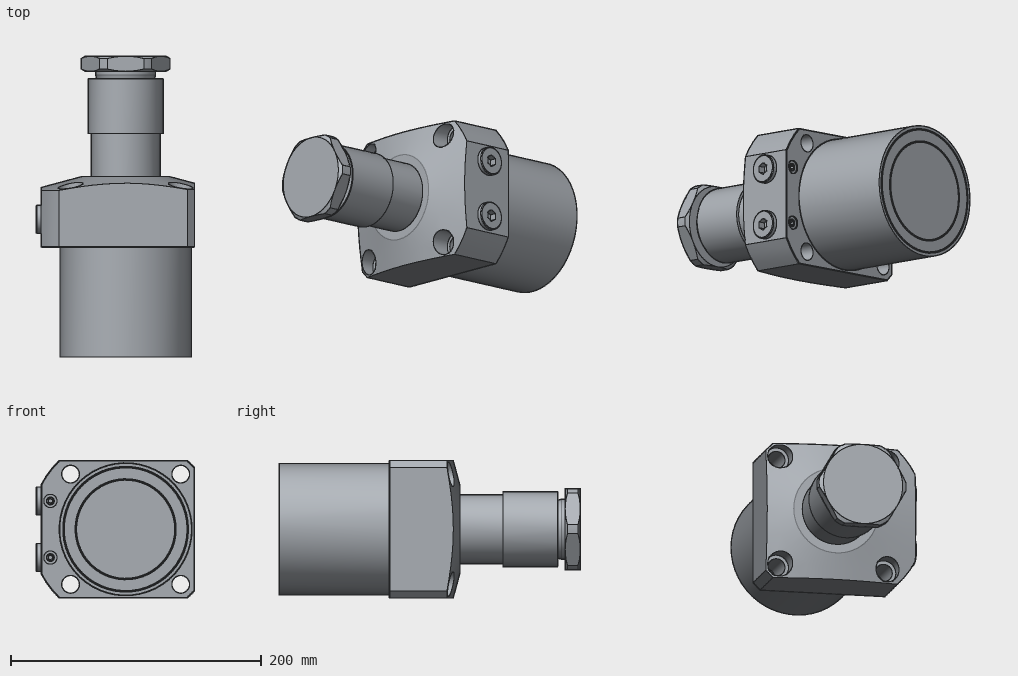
import cadquery as cq
import math

OVERALL_LENGTH = 240.0

FLANGE_FRONT = 87.5
FLANGE_BACK = 144.2
FLANGE_HALF = 55.0
PORT_FACE_X = -67.5
PORT_CORNER_RADIUS = 76.3
PLAIN_CORNER_CHAMFER = 5.8
FRONT_EDGE_CHAMFER = 0.6
BACK_FLAT_RADIUS = 34.5
BACK_CONE_ANGLE = 15.0
BACK_CONE_MARGIN = 2.5
MOUNT_HOLE_OFFSET = 44.0
MOUNT_HOLE_RADIUS = 7.0
COUNTERBORE_RADIUS = 9.8
COUNTERBORE_FLOOR = 123.5

BARREL_RADIUS = 52.5
TUBE_RADIUS = 27.5
SLEEVE_RADIUS = 30.0
ROOT_GROOVE_WIDTH = 0.5
ROOT_GROOVE_DEPTH = 0.5
SLEEVE_FRONT = 178.3
SLEEVE_BACK = 222.2
SLEEVE_CHAMFER = 0.5

GLAND_RADIUS = 49.7
GLAND_LENGTH = 20.0
ROD_HEAD_RADIUS = 39.8
ROD_HEAD_LENGTH = FLANGE_FRONT
NOSE_CHAMFER = 0.7
NOSE_BORE_CHAMFER = 0.5
SHAFT_RADIUS = 23.3
NECK_RADIUS = 24.0
NECK_FRONT = 225.0
HEX_FRONT = 228.0
HEX_FLATS = 64.8
HEX_CORNER_RADIUS = 35.5
HEX_CHAMFER_ANGLE = 30.0

PORT_OFFSET_Z = 22.5
PORT_Y = 110.0
PLUG_HEAD_RADIUS = 11.3
PLUG_HEAD_HEIGHT = 4.0
PLUG_HEAD_CHAMFER = 0.7
PLUG_SHANK_RADIUS = 8.5
PLUG_SHANK_LENGTH = 12.0
PLUG_SOCKET_FLATS = 8.2
PLUG_SOCKET_DEPTH = 6.0
SCREW_X = -60.0
SCREW_RECESS_RADIUS = 5.3
SCREW_RECESS_DEPTH = 1.2
SCREW_RADIUS = 3.0
SCREW_CHAMFER = 0.5
SCREW_LENGTH = 9.5
SCREW_SOCKET_FLATS = 3.0
SCREW_SOCKET_DEPTH = 3.5
SCREW_SOCKET_TURN = 30.0

PORT_SIDES = (-1, 1)


def across_xz(y, x=0.0, z=0.0):
    """Workplane at (x, y, z) that extrudes toward +Y."""
    return cq.Workplane(cq.Plane(origin=(x, y, z), xDir=(1, 0, 0), normal=(0, 1, 0)))


def axial_cylinder(radius, start, end):
    """Cylinder on the main axis from Y = start to Y = end."""
    return across_xz(start).circle(radius).extrude(end - start)


def port_plane(x, side):
    """Workplane on a port axis that extrudes toward +X."""
    origin = (x, PORT_Y, side * PORT_OFFSET_Z)
    return cq.Workplane(cq.Plane(origin=origin, xDir=(0, 0, 1), normal=(1, 0, 0)))


def nose_bore(radius):
    """Bore of the gland length, chamfered where it opens at the nose."""
    return (
        cq.Workplane("XY")
        .lineTo(radius + NOSE_BORE_CHAMFER, 0)
        .lineTo(radius, NOSE_BORE_CHAMFER)
        .lineTo(radius, GLAND_LENGTH)
        .lineTo(0, GLAND_LENGTH)
        .close()
        .revolve(360, (0, 0, 0), (0, 1, 0))
    )


def hexagon_diameter(flats):
    """Corner-to-corner size of a hexagon with the given size across flats."""
    return flats / math.cos(math.pi / 6)


def flange_block():
    """Flange outline with two rounded and two chamfered corners."""
    arc_end_x = -math.sqrt(PORT_CORNER_RADIUS**2 - FLANGE_HALF**2)
    arc_end_z = math.sqrt(PORT_CORNER_RADIUS**2 - PORT_FACE_X**2)
    middle_angle = (math.atan2(FLANGE_HALF, arc_end_x) + math.atan2(arc_end_z, PORT_FACE_X)) / 2
    arc_mid_x = PORT_CORNER_RADIUS * math.cos(middle_angle)
    arc_mid_z = PORT_CORNER_RADIUS * math.sin(middle_angle)
    chamfer_start = FLANGE_HALF - PLAIN_CORNER_CHAMFER
    block = (
        across_xz(FLANGE_FRONT)
        .moveTo(PORT_FACE_X, -arc_end_z)
        .lineTo(PORT_FACE_X, arc_end_z)
        .threePointArc((arc_mid_x, arc_mid_z), (arc_end_x, FLANGE_HALF))
        .lineTo(chamfer_start, FLANGE_HALF)
        .lineTo(FLANGE_HALF, chamfer_start)
        .lineTo(FLANGE_HALF, -chamfer_start)
        .lineTo(chamfer_start, -FLANGE_HALF)
        .lineTo(arc_end_x, -FLANGE_HALF)
        .threePointArc((arc_mid_x, -arc_mid_z), (PORT_FACE_X, -arc_end_z))
        .close()
        .extrude(FLANGE_BACK - FLANGE_FRONT)
        .faces("<Y")
        .chamfer(FRONT_EDGE_CHAMFER)
    )
    return block.intersect(back_cone_envelope())


def back_cone_envelope():
    """Solid of revolution that gives the flange its conical back."""
    outer_radius = PORT_CORNER_RADIUS + BACK_CONE_MARGIN
    cone_drop = (outer_radius - BACK_FLAT_RADIUS) * math.tan(math.radians(BACK_CONE_ANGLE))
    return (
        cq.Workplane("XY")
        .moveTo(0, FLANGE_FRONT)
        .lineTo(outer_radius, FLANGE_FRONT)
        .lineTo(outer_radius, FLANGE_BACK - cone_drop)
        .lineTo(BACK_FLAT_RADIUS, FLANGE_BACK)
        .lineTo(0, FLANGE_BACK)
        .close()
        .revolve(360, (0, 0, 0), (0, 1, 0))
    )


def mounting_holes():
    """Four through holes, counterbored from the conical back."""
    spacing = 2 * MOUNT_HOLE_OFFSET
    through_holes = (
        across_xz(FLANGE_FRONT)
        .rarray(spacing, spacing, 2, 2)
        .circle(MOUNT_HOLE_RADIUS)
        .extrude(FLANGE_BACK - FLANGE_FRONT)
    )
    counterbores = (
        across_xz(COUNTERBORE_FLOOR)
        .rarray(spacing, spacing, 2, 2)
        .circle(COUNTERBORE_RADIUS)
        .extrude(FLANGE_BACK - COUNTERBORE_FLOOR)
    )
    return through_holes.union(counterbores)


def make_housing():
    """Barrel, flange, rear tube and sleeve in one piece, bored for the other bodies."""
    sleeve = axial_cylinder(SLEEVE_RADIUS, SLEEVE_FRONT, SLEEVE_BACK).faces(">Y").chamfer(SLEEVE_CHAMFER)
    groove_radius = BARREL_RADIUS + ROOT_GROOVE_WIDTH
    groove_floor = FLANGE_FRONT + ROOT_GROOVE_DEPTH
    housing = (
        flange_block()
        .cut(axial_cylinder(groove_radius, FLANGE_FRONT, groove_floor))
        .union(axial_cylinder(BARREL_RADIUS, 0, groove_floor))
        .union(axial_cylinder(TUBE_RADIUS, FLANGE_BACK, SLEEVE_FRONT))
        .union(sleeve)
        .cut(nose_bore(GLAND_RADIUS))
        .cut(axial_cylinder(ROD_HEAD_RADIUS, 0, ROD_HEAD_LENGTH))
        .cut(axial_cylinder(SHAFT_RADIUS, ROD_HEAD_LENGTH, SLEEVE_BACK))
        .cut(mounting_holes())
    )
    screw_seat = FLANGE_FRONT + SCREW_RECESS_DEPTH
    for side in PORT_SIDES:
        z = side * PORT_OFFSET_Z
        recess = across_xz(FLANGE_FRONT, SCREW_X, z).circle(SCREW_RECESS_RADIUS).extrude(SCREW_RECESS_DEPTH)
        screw_hole = across_xz(screw_seat, SCREW_X, z).circle(SCREW_RADIUS).extrude(SCREW_LENGTH)
        plug_hole = port_plane(PORT_FACE_X, side).circle(PLUG_SHANK_RADIUS).extrude(PLUG_SHANK_LENGTH)
        housing = housing.cut(recess).cut(screw_hole).cut(plug_hole)
    return housing


def make_gland_ring():
    """Ring in the barrel nose that guides the piston rod."""
    blank = axial_cylinder(GLAND_RADIUS, 0, GLAND_LENGTH).faces("<Y").chamfer(NOSE_CHAMFER)
    return blank.cut(nose_bore(ROD_HEAD_RADIUS))


def hexagon_end():
    """Hexagon with its corners turned round and both ends chamfered."""
    flat_distance = HEX_FLATS / 2
    chamfer_length = (HEX_CORNER_RADIUS - flat_distance) * math.tan(math.radians(HEX_CHAMFER_ANGLE))
    hexagon = (
        across_xz(HEX_FRONT)
        .polygon(6, hexagon_diameter(HEX_FLATS))
        .extrude(OVERALL_LENGTH - HEX_FRONT)
    )
    turned_blank = (
        cq.Workplane("XY")
        .moveTo(0, HEX_FRONT)
        .lineTo(flat_distance, HEX_FRONT)
        .lineTo(HEX_CORNER_RADIUS, HEX_FRONT + chamfer_length)
        .lineTo(HEX_CORNER_RADIUS, OVERALL_LENGTH - chamfer_length)
        .lineTo(flat_distance, OVERALL_LENGTH)
        .lineTo(0, OVERALL_LENGTH)
        .close()
        .revolve(360, (0, 0, 0), (0, 1, 0))
    )
    return hexagon.intersect(turned_blank)


def make_piston_rod():
    """Rod head at the nose, shaft through the housing, tapered neck and hexagon end."""
    head = axial_cylinder(ROD_HEAD_RADIUS, 0, ROD_HEAD_LENGTH).faces("<Y").chamfer(NOSE_CHAMFER)
    shaft_and_neck = (
        cq.Workplane("XY")
        .moveTo(0, ROD_HEAD_LENGTH)
        .lineTo(SHAFT_RADIUS, ROD_HEAD_LENGTH)
        .lineTo(SHAFT_RADIUS, SLEEVE_BACK)
        .lineTo(NECK_RADIUS, NECK_FRONT)
        .lineTo(NECK_RADIUS, HEX_FRONT)
        .lineTo(0, HEX_FRONT)
        .close()
        .revolve(360, (0, 0, 0), (0, 1, 0))
    )
    return head.union(shaft_and_neck).union(hexagon_end())


def make_port_plug(side):
    """Plug with a round head on the port face and a hexagon socket."""
    head_x = PORT_FACE_X - PLUG_HEAD_HEIGHT
    head = (
        port_plane(head_x, side)
        .circle(PLUG_HEAD_RADIUS)
        .extrude(PLUG_HEAD_HEIGHT)
        .faces("<X")
        .chamfer(PLUG_HEAD_CHAMFER)
    )
    shank = port_plane(PORT_FACE_X, side).circle(PLUG_SHANK_RADIUS).extrude(PLUG_SHANK_LENGTH)
    socket = (
        port_plane(head_x, side)
        .polygon(6, hexagon_diameter(PLUG_SOCKET_FLATS))
        .extrude(PLUG_SOCKET_DEPTH)
    )
    return head.union(shank).cut(socket)


def make_set_screw(side):
    """Set screw at the bottom of its recess in the flange front."""
    plane = across_xz(FLANGE_FRONT + SCREW_RECESS_DEPTH, SCREW_X, side * PORT_OFFSET_Z)
    screw = plane.circle(SCREW_RADIUS).extrude(SCREW_LENGTH).faces("<Y").chamfer(SCREW_CHAMFER)
    socket = (
        plane.transformed(rotate=(0, 0, SCREW_SOCKET_TURN))
        .polygon(6, hexagon_diameter(SCREW_SOCKET_FLATS))
        .extrude(SCREW_SOCKET_DEPTH)
    )
    return screw.cut(socket)


housing = make_housing()
gland_ring = make_gland_ring()
piston_rod = make_piston_rod()
port_plugs = [make_port_plug(side).solids().val() for side in PORT_SIDES]
set_screws = [make_set_screw(side).solids().val() for side in PORT_SIDES]

result = cq.Compound.makeCompound([
    housing.solids().val(),
    gland_ring.solids().val(),
    piston_rod.solids().val(),
    *port_plugs,
    *set_screws,
])